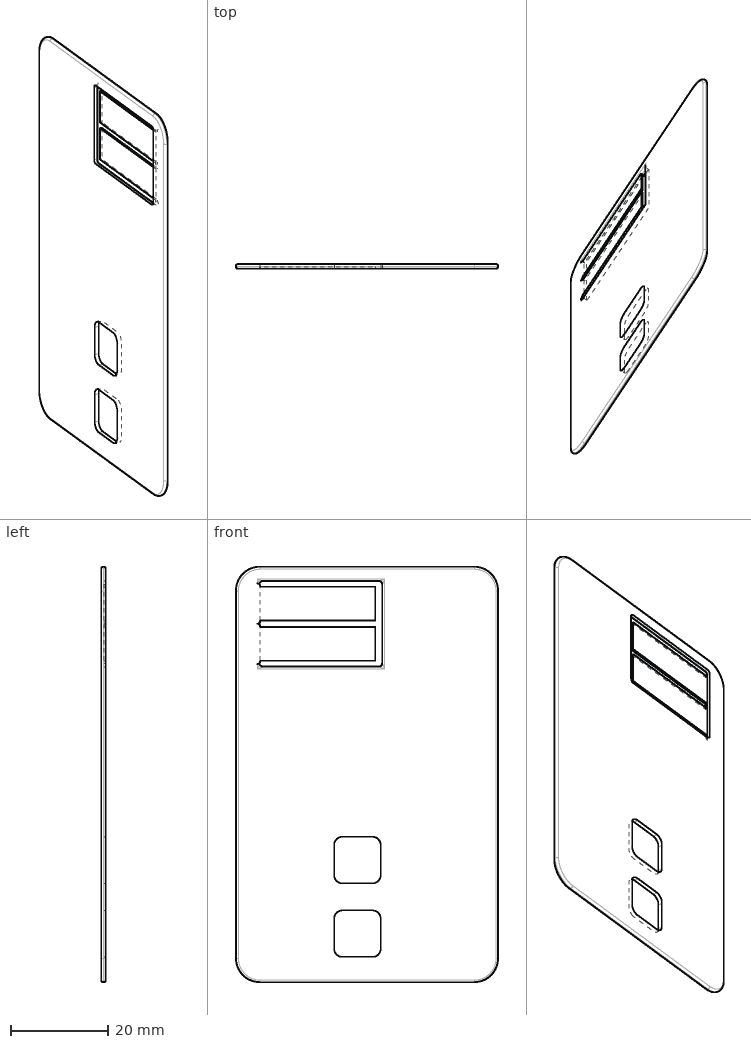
import cadquery as cq

height = 85.6
width = 54.0
thickness = 1.0
corner_radius = 5.0
edge_round = 0.49

window_left = -22.6
window_right = 3.6
window_bottom = 21.7
window_top = 40.3
window_corner_radius = 0.7

tongue_tip = 1.7
tongue_height = 7.0
tongue_gap = 1.3
tongue_thickness = 0.4
root_radius = tongue_gap / 2

pocket_size = 9.6
pocket_corner_radius = 1.7
pocket_skin = 0.1
pocket_x = -2.0
pocket_heights = (-32.8, -17.6)

front_y = -thickness / 2
back_y = thickness / 2
window_width = window_right - window_left
window_height = window_top - window_bottom
window_x = (window_left + window_right) / 2
window_z = (window_bottom + window_top) / 2
tongue_pitch = tongue_height + tongue_gap


def sketch_at(y, x=0.0, z=0.0):
    """Sketch plane facing the front; extruding runs toward -Y."""
    return cq.Workplane(cq.Plane(origin=(x, y, z), xDir=(1, 0, 0), normal=(0, -1, 0)))


def make_plate():
    """Card with rounded corners and rounded front and back rims."""
    plate = sketch_at(back_y).rect(width, height).extrude(thickness)
    plate = plate.edges("|Y").fillet(corner_radius)
    return plate.faces("<Y or >Y").edges().fillet(edge_round)


def cut_window(plate):
    """Cut the window, round its front rim outward, then soften its four inner corners."""
    opening = sketch_at(back_y, window_x, window_z).rect(
        window_width - 2 * edge_round, window_height - 2 * edge_round
    ).extrude(thickness)
    around_window = cq.selectors.BoxSelector(
        (window_left, -thickness, window_bottom), (window_right, thickness, window_top)
    )
    plate = plate.cut(opening)
    plate = plate.faces("<Y").edges(around_window).fillet(edge_round)
    return plate.edges("|Y").edges(around_window).fillet(window_corner_radius)


def make_tongue(z):
    """Tongue whose root flares above and below with concave arcs."""
    half = tongue_height / 2
    flare = half + root_radius
    root_end = window_left - root_radius
    arc_end = window_left + root_radius
    return (
        sketch_at(front_y + tongue_thickness, 0, z)
        .moveTo(root_end, flare)
        .lineTo(window_left, flare)
        .radiusArc((arc_end, half), root_radius)
        .lineTo(tongue_tip, half)
        .lineTo(tongue_tip, -half)
        .lineTo(arc_end, -half)
        .radiusArc((window_left, -flare), root_radius)
        .lineTo(root_end, -flare)
        .close()
        .extrude(tongue_thickness)
    )


def make_pocket(z):
    """Rounded square cutter that stops short of the front face."""
    depth = thickness - pocket_skin
    pocket = sketch_at(back_y, pocket_x, z).rect(pocket_size, pocket_size).extrude(depth)
    return pocket.edges("|Y").fillet(pocket_corner_radius)


result = cut_window(make_plate())
for side in (-1, 1):
    result = result.union(make_tongue(window_z + side * tongue_pitch / 2))
for pocket_z in pocket_heights:
    result = result.cut(make_pocket(pocket_z))